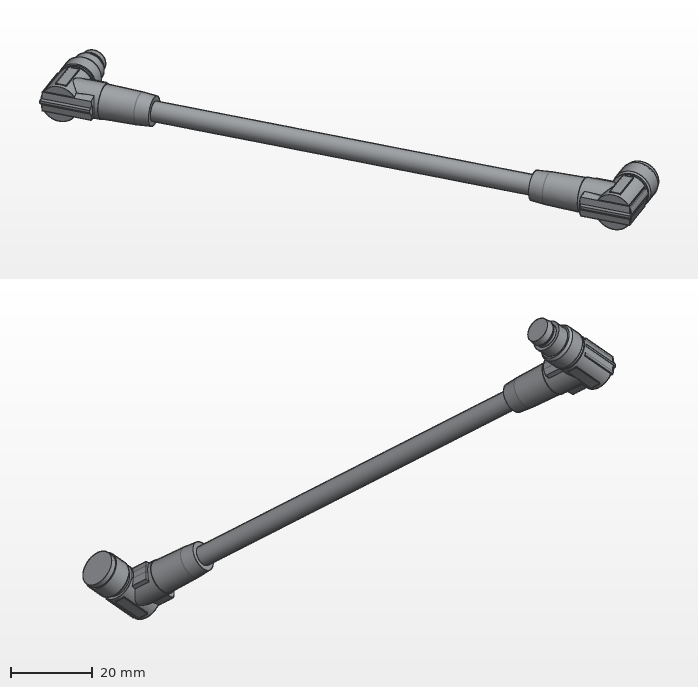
import cadquery as cq

total_length = 156.0
male_height = 23.7
female_height = 19.2
cable_radius = 2.57
cable_y = 6.1

body_radius = 4.8
body_bottom = 0.8
body_top = 11.7
arm_radius = 4.5
arm_length = 9.8

sleeve_end = 19.2
sleeve_start_radius = 4.4
sleeve_end_radius = 4.13
collar_end = 23.0
collar_end_radius = 3.82

web_edge_half_width = 2.7
web_middle_half_width = 3.6
web_arm_half_width = 3.1
web_arm_end = 8.9
web_top = 11.2
web_edge_setback = 0.5
web_corner_bevel = 0.6
ridge_half_width = 0.86
ridge_top_half_width = 0.3
ridge_height = 0.3

pad_width = 2.8
pad_bottom = 1.9
pad_top = 10.8
pad_half_span = 5.0

ring_radius = 5.0
neck_radius = 4.6
female_neck_radius = 4.0
male_ring_bottom = 12.6
male_ring_chamfer_start = 16.4
male_ring_top = 17.2
male_ring_top_radius = 4.5
male_step_radius = 4.0
male_step_top = 20.5
tip_root_radius = 3.2
tip_groove_radius = 3.0
tip_groove_bottom = 21.2
tip_cone_radius = 3.5
tip_cone_bottom = 21.8
nut_bottom = 13.1
nut_cone_bottom = 12.6
nut_top = 17.8
female_lip_radius = 4.7

male_axis_x = ring_radius
female_axis_x = total_length - ring_radius


def turned_about_y(profile):
    """Solid of revolution about Y from (radius, height) points."""
    points = [(0, profile[0][1])] + profile + [(0, profile[-1][1])]
    return cq.Workplane("XY").polyline(points).close().revolve(360, (0, 0, 0), (0, 1, 0))


def arm():
    """Cable arm with tapered sleeve and collar, turned about the cable axis."""
    points = [
        (0, 0),
        (0, arm_radius),
        (arm_length, arm_radius),
        (arm_length, sleeve_start_radius),
        (sleeve_end, sleeve_end_radius),
        (collar_end, collar_end_radius),
        (collar_end, 0),
    ]
    turned = cq.Workplane("XY").polyline(points).close().revolve(360, (0, 0, 0), (1, 0, 0))
    return turned.translate((0, cable_y, 0))


def mirrored_outline(plane, half_points):
    """Closed outline from points with positive second coordinate, mirrored below the first axis."""
    lower_half = [(position, -half_width) for position, half_width in reversed(half_points)]
    return cq.Workplane(plane).polyline(half_points + lower_half).close()


def web_outer_edge(outer):
    """Points of the ridged outer edge of the web, which starts at the given position."""
    return [
        (outer, ridge_top_half_width),
        (outer + ridge_height, ridge_half_width),
        (outer + web_edge_setback, web_edge_half_width),
    ]


def web_corner_cut():
    """Prism that bevels the corner of the web below the arm."""
    corner = (web_arm_end, 0)
    points = [corner, (web_arm_end - web_corner_bevel, 0), (web_arm_end, web_corner_bevel)]
    return cq.Workplane("XY").polyline(points).close().extrude(web_middle_half_width, both=True)


def web():
    """Web across the elbow corner: its XZ outline intersected with its YZ outline."""
    plan = web_outer_edge(-body_radius) + [
        (web_arm_end - web_edge_setback, web_arm_half_width),
        (web_arm_end, ridge_half_width),
    ]
    section = web_outer_edge(0) + [
        (web_top / 2, web_middle_half_width),
        (web_top - web_edge_setback, web_edge_half_width),
        (web_top, ridge_half_width),
    ]
    along_y = mirrored_outline("XZ", plan).extrude(-web_top)
    along_x = mirrored_outline("YZ", section).extrude(body_radius + web_arm_end, both=True)
    return along_y.intersect(along_x).cut(web_corner_cut())


def elbow():
    """Right-angle housing with its plug axis on Y and its arm toward +X."""
    barrel = turned_about_y([(body_radius, body_bottom), (body_radius, body_top)])
    pads = cq.Workplane("XY").box(
        pad_width, pad_top - pad_bottom, 2 * pad_half_span, centered=(True, False, True)
    ).translate((0, pad_bottom, 0))
    return barrel.union(arm()).union(web()).union(pads)


def male_plug():
    """Stepped snap-in plug with a retaining groove below its slightly tapered tip."""
    return turned_about_y([
        (neck_radius, body_top),
        (neck_radius, male_ring_bottom),
        (ring_radius, male_ring_bottom),
        (ring_radius, male_ring_chamfer_start),
        (male_ring_top_radius, male_ring_top),
        (male_step_radius, male_ring_top),
        (male_step_radius, male_step_top),
        (tip_root_radius, male_step_top),
        (tip_root_radius, tip_groove_bottom),
        (tip_groove_radius, tip_groove_bottom),
        (tip_groove_radius, tip_cone_bottom),
        (tip_cone_radius, tip_cone_bottom),
        (tip_root_radius, male_height),
    ])


def female_plug():
    """Coupling ring on a short neck, with a slightly smaller lip at its mouth."""
    return turned_about_y([
        (female_neck_radius, body_top),
        (female_neck_radius, nut_cone_bottom),
        (neck_radius, nut_cone_bottom),
        (ring_radius, nut_bottom),
        (ring_radius, nut_top),
        (female_lip_radius, nut_top),
        (female_lip_radius, female_height),
    ])


def cable():
    """Round cable running between the two plug axes."""
    length = female_axis_x - male_axis_x
    return cq.Workplane("YZ").circle(cable_radius).extrude(length).translate((male_axis_x, cable_y, 0))


male_end = elbow().union(male_plug()).translate((male_axis_x, 0, 0))
female_end = elbow().union(female_plug()).mirror("YZ").translate((female_axis_x, 0, 0))
result = male_end.union(cable()).union(female_end)